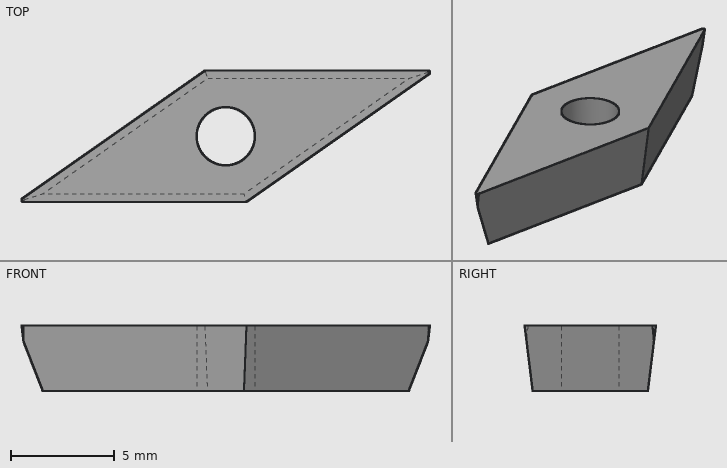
import cadquery as cq
import math

length = 19.71
width = 6.35
thickness = 3.17
acute_angle = math.radians(35)
relief_angle = 7.0
hole_diameter = 2.8

half_width = width / 2
half_angle = acute_angle / 2
side = width / math.sin(acute_angle)
sharp_tip_x = side * (1 + math.cos(acute_angle)) / 2
blunt_corner_x = side * (1 - math.cos(acute_angle)) / 2

tangent_ratio = 1 / math.tan(half_angle)
nose_radius = (sharp_tip_x - length / 2) / (tangent_ratio - 1)
nose_depth = nose_radius / math.tan(math.radians(relief_angle))
nose_base_z = thickness - nose_depth


def relieved_rhombus():
    """Sharp-cornered body, narrowing from the top face down."""
    corners = [
        (-sharp_tip_x, -half_width),
        (blunt_corner_x, -half_width),
        (sharp_tip_x, half_width),
        (-blunt_corner_x, half_width),
    ]
    return (
        cq.Workplane("XY", origin=(0, 0, thickness))
        .polyline(corners)
        .close()
        .extrude(-thickness, taper=relief_angle)
    )


def nose_cutter():
    """Material outside the conical nose at the -X tip."""
    tangent_length = nose_radius * tangent_ratio
    center = (-sharp_tip_x + tangent_length, -half_width + nose_radius)
    kite = [
        (-sharp_tip_x, -half_width),
        (-sharp_tip_x + tangent_length, -half_width),
        center,
        (
            -sharp_tip_x + tangent_length * math.cos(acute_angle),
            -half_width + tangent_length * math.sin(acute_angle),
        ),
    ]
    corner = cq.Workplane("XY", origin=(0, 0, nose_base_z)).polyline(kite).close().extrude(nose_depth)
    cone = cq.Solid.makeCone(0, nose_radius, nose_depth, pnt=cq.Vector(*center, nose_base_z))
    return corner.cut(cq.Workplane(cone))


cutter = nose_cutter()
body = relieved_rhombus()
for turn in (0, 180):
    body = body.cut(cutter.rotate((0, 0, 0), (0, 0, 1), turn))

hole = cq.Workplane("XY").circle(hole_diameter / 2).extrude(thickness)
result = body.cut(hole)